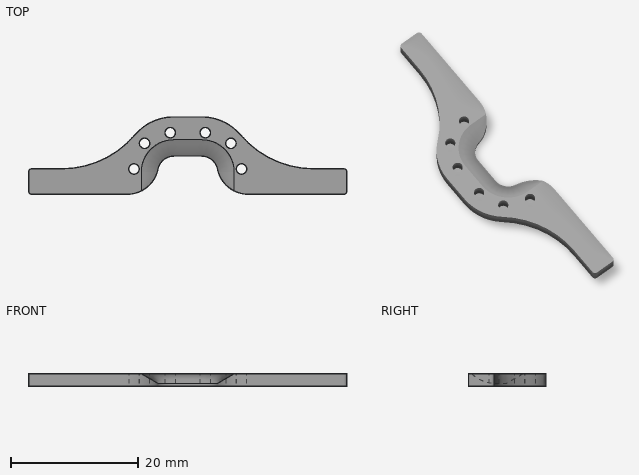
import cadquery as cq
import math

length = 50.05
depth = 12.2
thickness = 2.0
arm_width = 4.05
corner_radius = 0.5

crown_radius = 8.0
crown_center_x = 2.2
sweep_radius = 15.0

lip_height = 0.5
slope_angle = 30.0
notch_center_x = 2.2
notch_center_y = 3.5
notch_radius = 2.5
flare_radius = 5.0

hole_diameter = 1.6
hole_center_x = 2.75
hole_center_y = 4.0
hole_circle_radius = 5.7
hole_angles = (0, 45, 90)

notch_half_width = notch_center_x + notch_radius
slope_run = (thickness - lip_height) / math.tan(math.radians(slope_angle))


def on_circle(center_x, center_y, radius, angle):
    """Point on a circle, with the angle in degrees from +X."""
    turn = math.radians(angle)
    return center_x + radius * math.cos(turn), center_y + radius * math.sin(turn)


def make_right_half():
    """Right half of the plate, from the middle plane to the arm end."""
    half_length = length / 2
    crown_center_y = depth - crown_radius

    sweep_center_y = arm_width + sweep_radius
    center_rise = sweep_center_y - crown_center_y
    center_distance = crown_radius + sweep_radius
    sweep_center_x = crown_center_x + math.sqrt(center_distance**2 - center_rise**2)
    meet_angle = math.degrees(math.asin(center_rise / center_distance))
    crown_mid = on_circle(crown_center_x, crown_center_y, crown_radius, (90 + meet_angle) / 2)
    crown_end = on_circle(crown_center_x, crown_center_y, crown_radius, meet_angle)
    sweep_mid = on_circle(sweep_center_x, sweep_center_y, sweep_radius, 180 + (90 + meet_angle) / 2)

    flare_rise = flare_radius - notch_center_y
    flare_distance = flare_radius + notch_radius
    flare_center_x = notch_center_x + math.sqrt(flare_distance**2 - flare_rise**2)
    notch_angle = math.degrees(math.asin(flare_rise / flare_distance))
    flare_mid = on_circle(flare_center_x, flare_radius, flare_radius, (270 + 180 + notch_angle) / 2)
    notch_start = on_circle(notch_center_x, notch_center_y, notch_radius, notch_angle)
    notch_mid = on_circle(notch_center_x, notch_center_y, notch_radius, (90 + notch_angle) / 2)
    notch_top = notch_center_y + notch_radius

    half = (
        cq.Workplane("XY")
        .moveTo(0, depth)
        .lineTo(crown_center_x, depth)
        .threePointArc(crown_mid, crown_end)
        .threePointArc(sweep_mid, (sweep_center_x, arm_width))
        .lineTo(half_length, arm_width)
        .lineTo(half_length, 0)
        .lineTo(flare_center_x, 0)
        .threePointArc(flare_mid, notch_start)
        .threePointArc(notch_mid, (notch_center_x, notch_top))
        .lineTo(0, notch_top)
        .close()
        .extrude(thickness)
    )
    return half.edges("|Z and >X").fillet(corner_radius)


def make_slope_cutter():
    """Solid widening upward from the lip to form the sloped notch wall."""
    top_radius = notch_radius + slope_run
    rise = thickness - lip_height

    middle = (
        cq.Workplane("YZ")
        .polyline([
            (0, lip_height),
            (notch_center_y + notch_radius, lip_height),
            (notch_center_y + top_radius, thickness),
            (0, thickness),
        ])
        .close()
        .extrude(notch_center_x, both=True)
    )
    sides = (
        cq.Workplane("XZ")
        .polyline([
            (-notch_half_width, lip_height),
            (notch_half_width, lip_height),
            (notch_center_x + top_radius, thickness),
            (-notch_center_x - top_radius, thickness),
        ])
        .close()
        .extrude(-notch_center_y)
    )
    cutter = middle.union(sides)
    for side in (-1, 1):
        cone = cq.Solid.makeCone(
            notch_radius, top_radius, rise, cq.Vector(side * notch_center_x, notch_center_y, lip_height)
        )
        cutter = cutter.union(cq.Workplane(obj=cone))
    return cutter


def make_holes():
    right_points = [
        on_circle(hole_center_x, hole_center_y, hole_circle_radius, angle) for angle in hole_angles
    ]
    left_points = [(-x, y) for x, y in right_points]
    return (
        cq.Workplane("XY")
        .pushPoints(right_points + left_points)
        .circle(hole_diameter / 2)
        .extrude(thickness)
    )


right_half = make_right_half()
plate = right_half.union(right_half.mirror("YZ")).clean()
result = plate.cut(make_slope_cutter()).cut(make_holes())